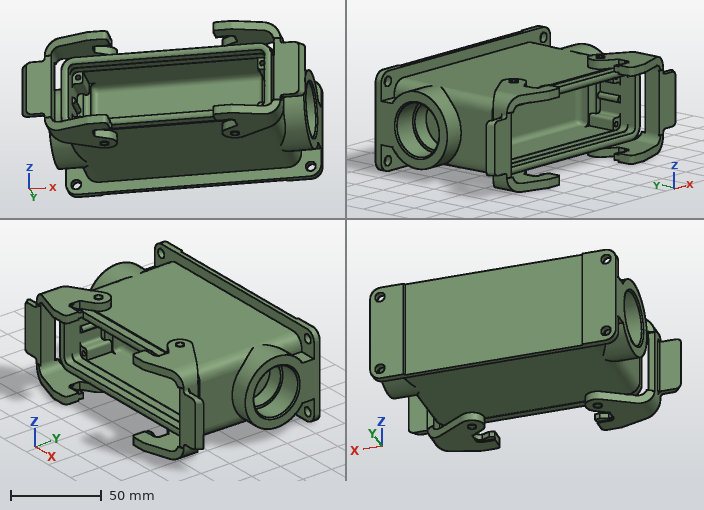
import cadquery as cq
import math


FLANGE_WIDTH = 143.5
FLANGE_HEIGHT = 57.0
FLANGE_THICKNESS = 4.1
FLANGE_CORNER_RADIUS = 6.4
SCREW_HOLE_DIAMETER = 5.5
SCREW_HOLE_X = 66.0
SCREW_HOLE_Z = 22.5
BACK_RELIEF_DEPTH = 1.1
BACK_RELIEF_HALF_WIDTH = 51.7

HOOD_BACK_HALF_X = 60.5
HOOD_BACK_HALF_Z = 22.3
HOOD_DRAFT = 0.6
HOOD_CORNER_RADIUS = 7.6
SHOULDER_Y = -74.5

LIP_HALF_X = 59.1
LIP_HALF_Z = 21.0
LIP_CORNER_RADIUS = 7.3
LIP_WALL = 4.0
LIP_EDGE_Y = -80.0
LIP_CROWN_HEIGHT = 0.8

CAVITY_STEP = 0.2
SEAT_Y = -69.0
LEDGE_Y = -54.4
FLOOR_Y = -44.8
WELL_HALF_X = 48.2
WELL_CORNER_RADIUS = 2.2
WELL_FLOOR_FILLET = 3.3
LEDGE_ROUND = 2.7

POST_INNER_X = 49.1
POST_INNER_Z = 9.9
POST_CORNER_RADIUS = 1.7
POST_HOLE_DIAMETER = 2.7
POST_HOLE_DEPTH = 9.5
DRILL_POINT_ANGLE = 118.0
POST_HOLE_X = 51.8
POST_HOLE_Z = 13.5
RIB_RADIUS = 1.9

PORT_RADIUS = 22.0
PORT_Y = -30.2
PORT_NECK_HALF_Z = 12.4
PORT_BORE_DIAMETER = 30.7
PORT_BORE_DEPTH = 14.3
PORT_MOUTH_DIAMETER = 32.5
PORT_INNER_DIAMETER = 27.7
PORT_INNER_DEPTH = 23.8

PIVOT_X = 36.7
PIVOT_Y = -70.4
PIVOT_DIAMETER = 4.8
PIVOT_HALF_SPAN = 28.0
COLLAR_DIAMETER = 7.0

ARM_OUTER_Z = 27.5
ARM_THICKNESS = 5.0
BRIDGE_OUTER_X = 66.3
BRIDGE_THICKNESS = 3.7
BEND_OUTER_RADIUS = 9.0
BEND_INNER_RADIUS = 5.4
EYE_RADIUS = 7.0
ARM_ANGLE = 32.0
LEVER_FRONT_Y = -98.9
LEVER_FRONT_CORNER_X = -40.5
BRIDGE_FRONT_Y = -90.8
HOOK_INNER_X = -40.0
HOOK_TIP_X = -29.7
HOOK_TOP_Y = -89.5
HOOK_NOTCH_RADIUS = 2.7
HOOK_CORNER_RADIUS = 2.5
TOOTH_THICKNESS = 3.3

TOOTH_ROOT = (HOOK_INNER_X, -85.0)
TOOTH_VALLEY_SIDE = (-39.1, -87.1)
TOOTH_VALLEY = (-36.9, -88.0)
TOOTH_CREST = (-32.3, -86.3)
TOOTH_TIP = (-29.2, -86.8)

TAB_TIP_X = -79.5
TAB_BACK_Y = -87.1
TAB_HALF_Z = 15.5
TAB_CORNER_RADIUS = 2.4
TAB_BEVEL = 2.9
TAB_FLARE_RADIUS = 1.7
TAB_BACK_FILLET = 0.8

ARM_INNER_Z = ARM_OUTER_Z - ARM_THICKNESS
PORT_END_X = -FLANGE_WIDTH / 2
PORT_ROOT_X = HOOD_CORNER_RADIUS - HOOD_BACK_HALF_X
LEDGE_BOTTOM_Y = LEDGE_Y + LEDGE_ROUND
MOUTH_HALF_X = LIP_HALF_X - LIP_WALL
MOUTH_HALF_Z = LIP_HALF_Z - LIP_WALL
MOUTH_CORNER_RADIUS = LIP_CORNER_RADIUS - LIP_WALL


def plane_at(y):
    """XZ plane at the given Y, with its normal toward -Y."""
    return cq.Workplane("XZ", origin=(0, y, 0))


def rounded_outline(half_x, half_z, radius):
    return cq.Sketch().rect(2 * half_x, 2 * half_z).vertices().fillet(radius)


def rounded_block(half_x, half_z, radius, back_y, front_y):
    """Rounded rectangular block running from back_y to front_y."""
    outline = rounded_outline(half_x, half_z, radius)
    return plane_at(back_y).placeSketch(outline).extrude(back_y - front_y)


def box_between(x_range, y_range, z_range):
    """Block between two limits, low then high, along each axis."""
    corner = [low for low, high in (x_range, y_range, z_range)]
    sizes = [high - low for low, high in (x_range, y_range, z_range)]
    return cq.Workplane("XY").box(*sizes, centered=False).translate(tuple(corner))


def mirrored_at_ends(body):
    """A body drawn at the -X end, together with its mirror image at the +X end."""
    return body.union(body.mirror("YZ"))


def flange():
    plate = rounded_block(
        FLANGE_WIDTH / 2, FLANGE_HEIGHT / 2, FLANGE_CORNER_RADIUS, 0, -FLANGE_THICKNESS
    )
    holes = (
        plane_at(0)
        .rect(2 * SCREW_HOLE_X, 2 * SCREW_HOLE_Z, forConstruction=True)
        .vertices()
        .circle(SCREW_HOLE_DIAMETER / 2)
        .extrude(FLANGE_THICKNESS)
    )
    relief = (
        cq.Workplane("XY")
        .polyline([
            (-BACK_RELIEF_HALF_WIDTH - BACK_RELIEF_DEPTH / 2, 0),
            (BACK_RELIEF_HALF_WIDTH + BACK_RELIEF_DEPTH / 2, 0),
            (BACK_RELIEF_HALF_WIDTH, -BACK_RELIEF_DEPTH),
            (-BACK_RELIEF_HALF_WIDTH, -BACK_RELIEF_DEPTH),
        ])
        .close()
        .extrude(FLANGE_HEIGHT / 2, both=True)
    )
    return plate.cut(holes).cut(relief)


def hood():
    """Rounded block that narrows from the flange to the shoulder."""
    outline = rounded_outline(HOOD_BACK_HALF_X, HOOD_BACK_HALF_Z, HOOD_CORNER_RADIUS)
    length = -FLANGE_THICKNESS - SHOULDER_Y
    return plane_at(-FLANGE_THICKNESS).placeSketch(outline).extrude(length, taper=HOOD_DRAFT)


def lip():
    return rounded_block(LIP_HALF_X, LIP_HALF_Z, LIP_CORNER_RADIUS, SHOULDER_Y, LIP_EDGE_Y)


def lip_crown():
    """Shallow arched bead swept around the front edge of the lip."""
    half_x = LIP_HALF_X - LIP_WALL / 2
    half_z = LIP_HALF_Z - LIP_WALL / 2
    radius = LIP_CORNER_RADIUS - LIP_WALL / 2
    path = plane_at(LIP_EDGE_Y).rect(2 * half_x, 2 * half_z).extrude(1.6)
    path = path.edges("|Y").fillet(radius).faces(">Y").wires().val()
    profile = (
        cq.Workplane("YZ")
        .moveTo(LIP_EDGE_Y, LIP_HALF_Z)
        .threePointArc(
            (LIP_EDGE_Y - LIP_CROWN_HEIGHT, half_z),
            (LIP_EDGE_Y, MOUTH_HALF_Z),
        )
        .close()
    )
    return profile.sweep(cq.Workplane(path))


def port():
    """Boss for the cable entry at -X, with the neck that joins it to the flange."""
    boss = (
        cq.Workplane("YZ", origin=(PORT_END_X, PORT_Y, 0))
        .circle(PORT_RADIUS)
        .extrude(PORT_ROOT_X - PORT_END_X)
    )
    neck = box_between(
        (PORT_END_X, PORT_ROOT_X),
        (PORT_Y, -FLANGE_THICKNESS),
        (-PORT_NECK_HALF_Z, PORT_NECK_HALF_Z),
    )
    return boss.union(neck)


def port_bore():
    """Stepped blind bore with a chamfered mouth, turned about the port axis."""
    mouth_chamfer = (PORT_MOUTH_DIAMETER - PORT_BORE_DIAMETER) / 2
    depths_and_radii = [
        (0, 0),
        (0, PORT_MOUTH_DIAMETER / 2),
        (mouth_chamfer, PORT_BORE_DIAMETER / 2),
        (PORT_BORE_DEPTH, PORT_BORE_DIAMETER / 2),
        (PORT_BORE_DEPTH, PORT_INNER_DIAMETER / 2),
        (PORT_INNER_DEPTH, PORT_INNER_DIAMETER / 2),
        (PORT_INNER_DEPTH, 0),
    ]
    half_section = cq.Workplane("XY", origin=(PORT_END_X, PORT_Y, 0)).polyline(depths_and_radii)
    return half_section.close().revolve(360, (0, 0), (1, 0))


def ledge_slot():
    """Slot between the two screw posts at -X, ending on a ledge with a rounded rim."""
    ledge_profile = (
        cq.Workplane("XY")
        .moveTo(-POST_INNER_X, SEAT_Y)
        .lineTo(-MOUTH_HALF_X, SEAT_Y)
        .lineTo(-MOUTH_HALF_X, LEDGE_Y)
        .lineTo(-POST_INNER_X - LEDGE_ROUND, LEDGE_Y)
        .radiusArc((-POST_INNER_X, LEDGE_BOTTOM_Y), LEDGE_ROUND)
        .close()
        .extrude(MOUTH_HALF_Z, both=True)
    )
    flare_z = POST_INNER_Z + POST_CORNER_RADIUS
    flare_x = -POST_INNER_X - POST_CORNER_RADIUS
    slot_profile = (
        plane_at(LEDGE_BOTTOM_Y)
        .moveTo(-POST_INNER_X, -flare_z)
        .radiusArc((flare_x, -POST_INNER_Z), -POST_CORNER_RADIUS)
        .lineTo(-MOUTH_HALF_X, -POST_INNER_Z)
        .lineTo(-MOUTH_HALF_X, POST_INNER_Z)
        .lineTo(flare_x, POST_INNER_Z)
        .radiusArc((-POST_INNER_X, flare_z), -POST_CORNER_RADIUS)
        .close()
        .extrude(LEDGE_BOTTOM_Y - SEAT_Y)
        .edges("|Y and <X")
        .fillet(POST_CORNER_RADIUS)
    )
    return slot_profile.intersect(ledge_profile)


def cavity():
    """Opening with a mouth, a throat, the space between the posts, and a deeper well."""
    throat_half_z = MOUTH_HALF_Z - CAVITY_STEP
    inner_half_z = throat_half_z - CAVITY_STEP
    mouth = rounded_block(
        MOUTH_HALF_X, MOUTH_HALF_Z, MOUTH_CORNER_RADIUS, SHOULDER_Y, LIP_EDGE_Y - LIP_CROWN_HEIGHT
    )
    throat = rounded_block(MOUTH_HALF_X, throat_half_z, MOUTH_CORNER_RADIUS, SEAT_Y, SHOULDER_Y)
    post_gap = box_between(
        (-POST_INNER_X, POST_INNER_X), (SEAT_Y, LEDGE_BOTTOM_Y), (-inner_half_z, inner_half_z)
    )
    well = rounded_block(WELL_HALF_X, inner_half_z, WELL_CORNER_RADIUS, FLOOR_Y, LEDGE_BOTTOM_Y)
    well = well.faces(">Y").edges().fillet(WELL_FLOOR_FILLET)
    slots = mirrored_at_ends(ledge_slot())
    return mouth.union(throat).union(post_gap).union(well).union(slots)


def post_holes():
    """Blind screw holes with drilled points, one in each post."""
    radius = POST_HOLE_DIAMETER / 2
    point_length = radius / math.tan(math.radians(DRILL_POINT_ANGLE / 2))
    hole = (
        cq.Workplane("XY")
        .polyline([
            (0, SEAT_Y),
            (radius, SEAT_Y),
            (radius, SEAT_Y + POST_HOLE_DEPTH),
            (0, SEAT_Y + POST_HOLE_DEPTH + point_length),
        ])
        .close()
        .revolve(360, (0, 0), (0, 1))
        .val()
    )
    centres = [(x, 0, z) for x in (-POST_HOLE_X, POST_HOLE_X) for z in (-POST_HOLE_Z, POST_HOLE_Z)]
    return cq.Compound.makeCompound([hole.translate(cq.Vector(*centre)) for centre in centres])


def locating_ribs():
    """Half-round rib standing on the ledge against each end wall."""
    return (
        plane_at(LEDGE_Y)
        .pushPoints([(-MOUTH_HALF_X, 0), (MOUTH_HALF_X, 0)])
        .circle(RIB_RADIUS)
        .extrude(LEDGE_Y - SEAT_Y)
    )


def pivots(diameter, half_span):
    """Round bars along Z through both pivot axes."""
    return (
        cq.Workplane("XY")
        .pushPoints([(-PIVOT_X, PIVOT_Y), (PIVOT_X, PIVOT_Y)])
        .circle(diameter / 2)
        .extrude(half_span, both=True)
    )


def build_housing():
    outside = (
        flange()
        .union(hood())
        .union(lip())
        .union(lip_crown())
        .union(mirrored_at_ends(port()))
        .union(pivots(COLLAR_DIAMETER, ARM_INNER_Z))
        .union(pivots(PIVOT_DIAMETER, PIVOT_HALF_SPAN))
    )
    return (
        outside
        .cut(mirrored_at_ends(port_bore()))
        .cut(cavity())
        .cut(post_holes())
        .union(locating_ribs())
    )


def eye_tangents():
    """Ends (X, Y) and middle of the eye's arc, where the sloping arm edges run into it."""
    angle = math.radians(ARM_ANGLE)
    across = EYE_RADIUS * math.sin(angle)
    along = EYE_RADIUS * math.cos(angle)
    upper = (-PIVOT_X - across, PIVOT_Y + along)
    far = (-PIVOT_X + along, PIVOT_Y + across)
    lower = (-PIVOT_X + across, PIVOT_Y - along)
    return upper, far, lower


def slope_y(point, x):
    """Y at the given X on the arm-angle line through a point."""
    return point[1] + (x - point[0]) * math.tan(math.radians(ARM_ANGLE))


def arm_plate():
    """Lever outline from above, as a solid tall enough for both arms."""
    eye_upper, eye_far, eye_lower = eye_tangents()
    bridge_back_y = slope_y(eye_upper, -BRIDGE_OUTER_X)
    notch_back_y = slope_y(eye_lower, HOOK_INNER_X)
    return (
        cq.Workplane("XY")
        .moveTo(-BRIDGE_OUTER_X, BRIDGE_FRONT_Y)
        .lineTo(-BRIDGE_OUTER_X, bridge_back_y)
        .lineTo(*eye_upper)
        .threePointArc(eye_far, eye_lower)
        .lineTo(HOOK_INNER_X, notch_back_y)
        .lineTo(HOOK_INNER_X, HOOK_TOP_Y + HOOK_NOTCH_RADIUS)
        .radiusArc((HOOK_INNER_X + HOOK_NOTCH_RADIUS, HOOK_TOP_Y), -HOOK_NOTCH_RADIUS)
        .lineTo(HOOK_TIP_X, HOOK_TOP_Y)
        .lineTo(HOOK_TIP_X, LEVER_FRONT_Y + HOOK_CORNER_RADIUS)
        .radiusArc((HOOK_TIP_X - HOOK_CORNER_RADIUS, LEVER_FRONT_Y), HOOK_CORNER_RADIUS)
        .lineTo(LEVER_FRONT_CORNER_X, LEVER_FRONT_Y)
        .close()
        .extrude(ARM_OUTER_Z, both=True)
    )


def bent_strip():
    """Two arms and the bridge between them, as a bent strip seen along Y."""
    open_x = HOOK_TIP_X + EYE_RADIUS
    outer = box_between(
        (-BRIDGE_OUTER_X, open_x), (LEVER_FRONT_Y, 0), (-ARM_OUTER_Z, ARM_OUTER_Z)
    ).edges("|Y and <X").fillet(BEND_OUTER_RADIUS)
    inner = box_between(
        (BRIDGE_THICKNESS - BRIDGE_OUTER_X, open_x), (LEVER_FRONT_Y, 0), (-ARM_INNER_Z, ARM_INNER_Z)
    ).edges("|Y and <X").fillet(BEND_INNER_RADIUS)
    return outer.cut(inner)


def bridge_trims():
    """Blocks that square off the bridge edges between the two bends."""
    eye_upper = eye_tangents()[0]
    bridge_back_y = slope_y(eye_upper, -BRIDGE_OUTER_X)
    flat_half_z = ARM_OUTER_Z - BEND_OUTER_RADIUS
    x_range = (-BRIDGE_OUTER_X, BEND_OUTER_RADIUS - BRIDGE_OUTER_X)
    z_range = (-flat_half_z, flat_half_z)
    back = box_between(x_range, (bridge_back_y, 0), z_range)
    front = box_between(x_range, (LEVER_FRONT_Y, BRIDGE_FRONT_Y), z_range)
    return back.union(front)


def hook_teeth():
    """Raised nose on each hook, thinner than the arm and centred in it."""
    offset = (ARM_THICKNESS - TOOTH_THICKNESS) / 2
    tooth = (
        cq.Workplane("XY")
        .moveTo(*TOOTH_ROOT)
        .threePointArc(TOOTH_VALLEY_SIDE, TOOTH_VALLEY)
        .lineTo(*TOOTH_CREST)
        .lineTo(*TOOTH_TIP)
        .lineTo(HOOK_TIP_X, HOOK_TOP_Y)
        .lineTo(HOOK_TIP_X, LEVER_FRONT_Y + HOOK_CORNER_RADIUS)
        .lineTo(HOOK_INNER_X, LEVER_FRONT_Y + HOOK_CORNER_RADIUS)
        .close()
        .extrude(TOOTH_THICKNESS)
        .translate((0, 0, ARM_INNER_Z + offset))
    )
    return tooth.union(tooth.mirror("XY"))


def finger_tab():
    """Tab on the bridge, flared at its root, with rounded corners and a bevelled tip."""
    root_x = -BRIDGE_OUTER_X
    flare_x = root_x - TAB_FLARE_RADIUS
    flare_z = TAB_HALF_Z + TAB_FLARE_RADIUS
    inside_x = root_x + BRIDGE_THICKNESS
    plate = (
        plane_at(TAB_BACK_Y)
        .moveTo(inside_x, -flare_z)
        .lineTo(root_x, -flare_z)
        .radiusArc((flare_x, -TAB_HALF_Z), -TAB_FLARE_RADIUS)
        .lineTo(TAB_TIP_X, -TAB_HALF_Z)
        .lineTo(TAB_TIP_X, TAB_HALF_Z)
        .lineTo(flare_x, TAB_HALF_Z)
        .radiusArc((root_x, flare_z), -TAB_FLARE_RADIUS)
        .lineTo(inside_x, flare_z)
        .close()
        .extrude(TAB_BACK_Y - BRIDGE_FRONT_Y)
    )
    bevel = (
        cq.Workplane("XY")
        .polyline([
            (TAB_TIP_X, TAB_BACK_Y),
            (TAB_TIP_X, BRIDGE_FRONT_Y),
            (TAB_TIP_X + TAB_BEVEL, BRIDGE_FRONT_Y),
        ])
        .close()
        .extrude(TAB_HALF_Z, both=True)
    )
    back_fillet = (
        cq.Workplane("XY")
        .moveTo(root_x, TAB_BACK_Y)
        .lineTo(root_x - TAB_BACK_FILLET, TAB_BACK_Y)
        .radiusArc((root_x, TAB_BACK_Y + TAB_BACK_FILLET), TAB_BACK_FILLET)
        .close()
        .extrude(TAB_HALF_Z, both=True)
    )
    tab = plate.cut(bevel)
    tip_corners = tab.faces("<X").edges("not |Z")
    return tip_corners.fillet(TAB_CORNER_RADIUS).union(back_fillet)


def build_lever():
    """Locking lever at the -X end."""
    return (
        arm_plate()
        .intersect(bent_strip())
        .cut(bridge_trims())
        .union(hook_teeth())
        .union(finger_tab())
        .cut(pivots(PIVOT_DIAMETER, ARM_OUTER_Z))
    )


housing = build_housing()
left_lever = build_lever()
right_lever = left_lever.mirror("YZ")

result = cq.Compound.makeCompound([housing.val(), left_lever.val(), right_lever.val()])